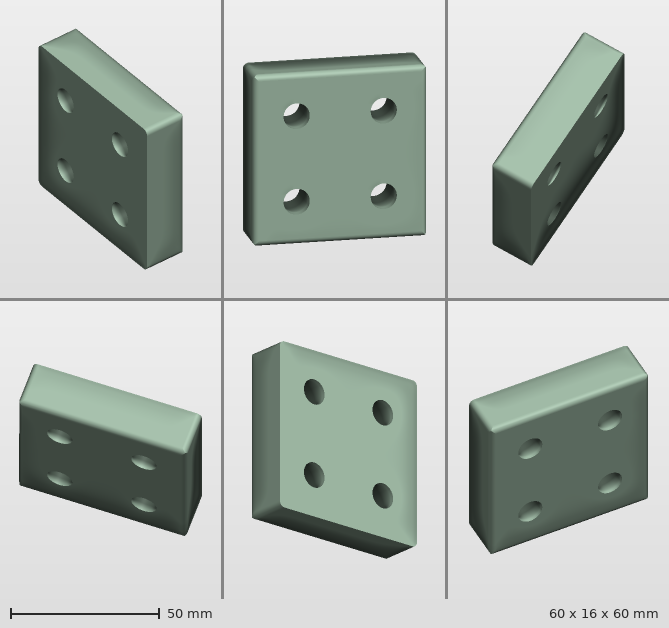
import cadquery as cq

side = 60.0
thickness = 16.0
edge_radius = 2.0

hole_diameter = 9.0
hole_spacing = side / 2


def sharp_plate():
    return cq.Workplane("XZ").rect(side, side).extrude(-thickness)


plate = sharp_plate().edges("|Y").fillet(edge_radius)
for back_edges in ("|X and >Y", "|Z and >Y"):
    plate = plate.intersect(sharp_plate().edges(back_edges).fillet(edge_radius))

holes = (
    cq.Workplane("XZ")
    .rarray(hole_spacing, hole_spacing, 2, 2)
    .circle(hole_diameter / 2)
    .extrude(-thickness)
)

result = plate.cut(holes)